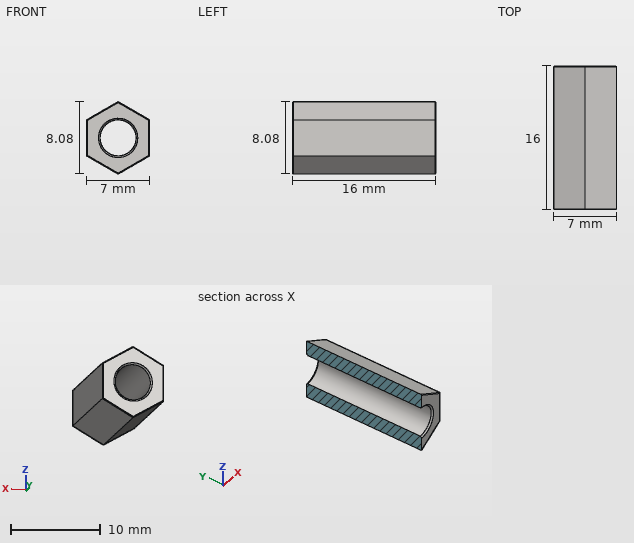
import cadquery as cq
import math

length = 16.0
across_flats = 7.0
bore_diameter = 4.0
outer_chamfer = 0.1
bore_chamfer = 0.2

across_corners = across_flats / math.cos(math.radians(30))


def hex_body():
    """Hexagonal bar along Y, corners up and down, with both end outlines chamfered."""
    bar = (
        cq.Workplane("XZ")
        .transformed(rotate=(0, 0, 90))
        .polygon(6, across_corners)
        .extrude(length / 2, both=True)
    )
    return bar.faces("<Y or >Y").edges().chamfer(outer_chamfer)


def bore():
    """Through hole cutter along Y, widening at both mouths."""
    bore_radius = bore_diameter / 2
    mouth_radius = bore_radius + bore_chamfer
    half_length = length / 2
    chamfer_start = half_length - bore_chamfer
    profile = [
        (0, -half_length),
        (mouth_radius, -half_length),
        (bore_radius, -chamfer_start),
        (bore_radius, chamfer_start),
        (mouth_radius, half_length),
        (0, half_length),
    ]
    return cq.Workplane("XY").polyline(profile).close().revolve(360, (0, 0), (0, 1))


result = hex_body().cut(bore())